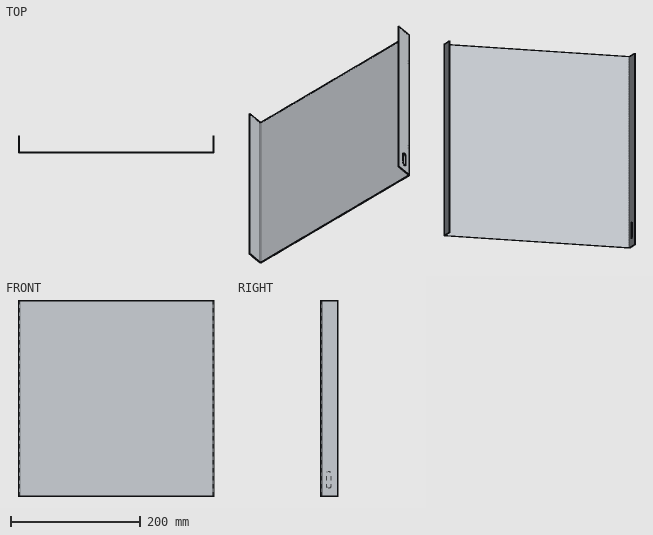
import cadquery as cq

panel_width = 302.26
panel_height = 302.26
flange_depth = 26.99

sheet_thickness = 1.8
inner_bend_radius = 0.9
outer_bend_radius = inner_bend_radius + sheet_thickness

slot_length = 25.4
slot_width = 7.14
slot_edge_distance = 12.7
slot_center_y = 12.7
slot_center_z = slot_edge_distance + slot_length / 2


def make_channel():
    """Flat face at Y = 0 with a flange bent back toward +Y on each side."""
    outer = (
        cq.Workplane("XY")
        .rect(panel_width, 2 * flange_depth)
        .extrude(panel_height)
        .translate((0, flange_depth, 0))
        .edges("|Z and <Y")
        .fillet(outer_bend_radius)
    )
    inner = (
        cq.Workplane("XY")
        .rect(panel_width - 2 * sheet_thickness, 2 * flange_depth)
        .extrude(panel_height)
        .translate((0, flange_depth + sheet_thickness, 0))
        .edges("|Z and <Y")
        .fillet(inner_bend_radius)
    )
    depth_limit = cq.Workplane("XY").box(
        panel_width, flange_depth, panel_height, centered=(True, False, False)
    )
    return outer.cut(inner).intersect(depth_limit)


def make_slot_cutter():
    """Round-ended slot reaching through the -X flange only."""
    return (
        cq.Workplane("YZ", origin=(-panel_width / 2, slot_center_y, slot_center_z))
        .slot2D(slot_length, slot_width, angle=90)
        .extrude(2 * sheet_thickness, both=True)
    )


result = make_channel().cut(make_slot_cutter())